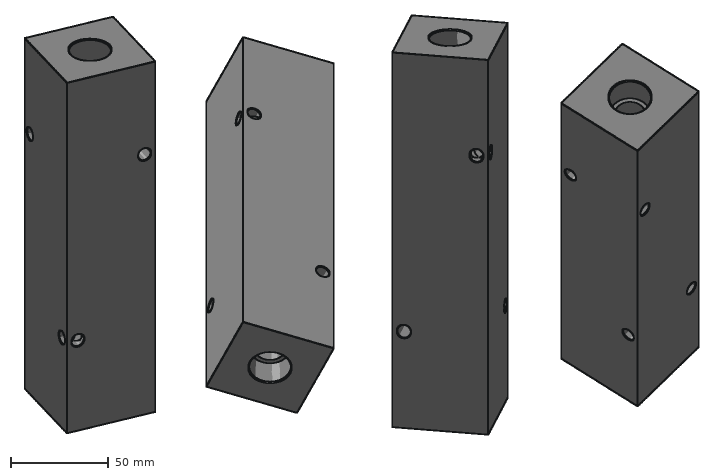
import cadquery as cq

height = 209.5
side = 50.7
edge_chamfer = 0.2

through_bore_diameter = 15.7
port_diameter = 21.4
port_taper = 1 / 16
port_depth = 13.6
port_chamfer = 0.6

cross_hole_diameter = 7.0
cross_hole_chamfer = 0.5
cross_hole_offset = 19.0
cross_hole_height = side


def block():
    """Square bar with all edges lightly broken."""
    return cq.Workplane("XY").box(side, side, height).edges().chamfer(edge_chamfer)


def port_cutter():
    """Tapered port with a chamfered mouth, cut down from the top face."""
    top = height / 2
    mouth_radius = port_diameter / 2
    floor_radius = mouth_radius - port_taper * port_depth / 2
    return (
        cq.Workplane("XZ")
        .moveTo(0, top)
        .lineTo(mouth_radius + port_chamfer, top)
        .lineTo(mouth_radius, top - port_chamfer)
        .lineTo(floor_radius, top - port_depth)
        .lineTo(0, top - port_depth)
        .close()
        .revolve(360, (0, 0), (0, 1))
    )


def cross_hole_cutter():
    """Cylinder along Z, centred on the origin, flaring at both ends to chamfer the hole mouths."""
    radius = cross_hole_diameter / 2
    half = side / 2
    return (
        cq.Workplane("XZ")
        .moveTo(0, -half)
        .lineTo(radius + cross_hole_chamfer, -half)
        .lineTo(radius, -half + cross_hole_chamfer)
        .lineTo(radius, half - cross_hole_chamfer)
        .lineTo(radius + cross_hole_chamfer, half)
        .lineTo(0, half)
        .close()
        .revolve(360, (0, 0), (0, 1))
    )


result = block().faces(">Z").workplane().hole(through_bore_diameter)

top_port = port_cutter()
bottom_port = top_port.mirror("XY")
result = result.cut(top_port).cut(bottom_port)

cross_hole = cross_hole_cutter()
along_y = cross_hole.rotate((0, 0, 0), (1, 0, 0), 90)
along_x = cross_hole.rotate((0, 0, 0), (0, 1, 0), 90)
for level in (1, -1):
    z = level * cross_hole_height
    result = result.cut(along_y.translate((-level * cross_hole_offset, 0, z)))
    result = result.cut(along_x.translate((0, level * cross_hole_offset, z)))